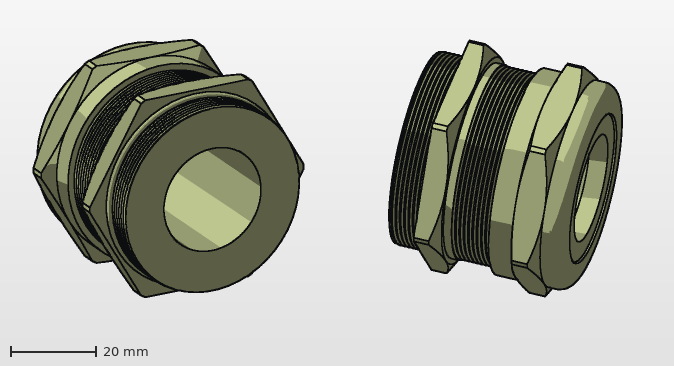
import cadquery as cq
import math


total_length = 42.95
corner_radius = 28.5
across_flats = 50.0
flat_radius = across_flats / 2

dome_fillet = 3.15
collar_end = 17.8

front_hex_start = 5.1
front_hex_end = 12.2
rear_hex_start = 29.4
rear_hex_end = 35.15
front_bevel = 2.05
back_bevel = 1.25

crest_radius = 23.4
root_radius = 22.8
middle_teeth = 9
shoulder_start = 27.4
thread_pitch = (shoulder_start - collar_end) / middle_teeth
end_teeth = 6

shoulder_radius = 23.6
washer_end = 35.9
washer_radius = 24.1
washer_fillet = 0.5
end_thread_relief = 0.35

bore_radius = 12.95
seal_radius = 17.85
seal_end = 5.1
seal_recess = 0.5
seal_clearance = 0.2


def revolve_about_x(profile):
    """Turn a closed (X, radius) profile around the X axis."""
    return profile.close().revolve(360, (0, 0, 0), (1, 0, 0))


def cylinder(start, end, radius):
    """Solid cylinder along X."""
    return cq.Workplane("YZ").workplane(offset=start).circle(radius).extrude(end - start)


def make_front_collar():
    """Collar with a rounded front edge."""
    return cylinder(0, collar_end, flat_radius).faces("<X").edges().fillet(dome_fillet)


def make_middle_thread():
    """Thread between collar and shoulder, with a crest at either end."""
    profile = cq.Workplane("XZ").moveTo(collar_end, 0).lineTo(collar_end, crest_radius)
    for tooth in range(middle_teeth):
        start = collar_end + tooth * thread_pitch
        profile = profile.lineTo(start + thread_pitch / 2, root_radius)
        profile = profile.lineTo(start + thread_pitch, crest_radius)
    return revolve_about_x(profile.lineTo(shoulder_start, 0))


def make_end_thread():
    """Rear thread: a short relief, whole teeth, and a last tooth cut off by the end face."""
    first_root = washer_end + end_thread_relief
    profile = cq.Workplane("XZ").moveTo(washer_end, 0).lineTo(washer_end, root_radius)
    profile = profile.lineTo(first_root, root_radius)
    for tooth in range(end_teeth):
        start = first_root + tooth * thread_pitch
        profile = profile.lineTo(start + thread_pitch / 2, crest_radius)
        profile = profile.lineTo(start + thread_pitch, root_radius)
    last_root = first_root + end_teeth * thread_pitch
    flank_slope = (crest_radius - root_radius) / (thread_pitch / 2)
    cut_radius = root_radius + flank_slope * (total_length - last_root)
    return revolve_about_x(profile.lineTo(total_length, cut_radius).lineTo(total_length, 0))


def make_hexagon(start, end, bevel_behind):
    """Hexagon with flats at top and bottom; its corners are rounded and bevelled."""
    corner_diameter = across_flats / math.cos(math.pi / 6)
    prism = cq.Workplane("YZ").workplane(offset=start).polygon(6, corner_diameter).extrude(end - start)
    envelope = cq.Workplane("XZ").moveTo(start, 0).lineTo(start, flat_radius)
    envelope = envelope.lineTo(start + front_bevel, corner_radius)
    if bevel_behind:
        envelope = envelope.lineTo(end - back_bevel, corner_radius).lineTo(end, flat_radius)
    else:
        envelope = envelope.lineTo(end, corner_radius)
    return prism.intersect(revolve_about_x(envelope.lineTo(end, 0)))


def make_washer_face():
    """Round step behind the rear hexagon with a rounded outer edge."""
    washer = cylinder(rear_hex_end, washer_end, washer_radius)
    return washer.faces(">X").edges().fillet(washer_fillet)


def make_seal_pocket():
    """Pocket in the front face; the seal rests on its floor with a gap all round."""
    return cylinder(0, seal_end, seal_radius + seal_clearance)


def make_housing():
    """Outer features joined together, then bored and pocketed for the seal."""
    body = make_front_collar().union(make_hexagon(front_hex_start, front_hex_end, True))
    body = body.union(make_middle_thread())
    body = body.union(cylinder(shoulder_start, rear_hex_start, shoulder_radius))
    body = body.union(make_hexagon(rear_hex_start, rear_hex_end, False))
    body = body.union(make_washer_face()).union(make_end_thread())
    return body.cut(cylinder(0, total_length, bore_radius)).cut(make_seal_pocket()).solids()


def make_seal():
    """Plain ring standing on the pocket floor, with the same bore as the housing."""
    return cylinder(seal_recess, seal_end, seal_radius).cut(cylinder(0, seal_end, bore_radius)).solids()


housing = make_housing()
seal = make_seal()

result = cq.Compound.makeCompound([housing.val(), seal.val()])